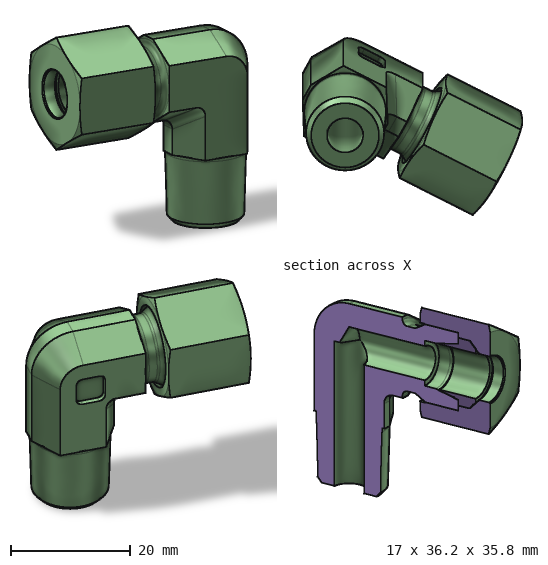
import cadquery as cq
import math


leg_width = 14.0
leg_half_height = 7.25
inlet_leg_end = 10.97
tail_leg_end = 13.5
inner_corner_radius = 1.7

half_width = leg_width / 2
side_half_height = half_width / math.sqrt(3)
flat_half_width = half_width - (leg_half_height - side_half_height) * math.sqrt(3)

tail_diameter = leg_width - 0.4
tail_land = 0.55
tail_tip_diameter = 13.0
tail_chamfer = 0.95
tail_end = 26.0
tail_end_diameter = 11.3

neck_diameter = 11.7
neck_radius = 0.98
neck_blend_radius = 0.87
neck_flare_start = 13.6
flare_angle = math.radians(30)
spigot_diameter = 14.0
spigot_end = 22.45

passage_diameter = 6.0
tail_passage_top = 0.18
drill_tip_angle = 118
tube_diameter = 8.0
tube_stop = 15.57

seat_mouth_diameter = 10.0
seat_slope = math.tan(math.radians(12))

panel_size = 5.07
panel_center = -1.35
panel_corner_radius = 1.1
panel_depth = 1.0

nut_width = 17.0
nut_start = 14.5
nut_end = 28.98
nut_chamfer_angle = math.radians(15)
nut_bore_diameter = 8.15
nut_mouth_diameter = 8.48
nut_mouth_chamfer = 0.25

ring_diameter = 12.0
ring_collar_end = 24.7
ring_nose = 18.47
ring_end = 25.97


def revolve_about_inlet(points):
    """Revolve a closed (radius, distance along -Y) outline about the Y axis."""
    outline = [(radius, -distance) for radius, distance in points]
    return cq.Workplane("XY").polyline(outline).close().revolve(360, (0, 0), (0, 1))


def leg_outline(plane):
    """Eight-sided leg section, width along the plane's first axis."""
    corners = [
        (half_width, side_half_height),
        (flat_half_width, leg_half_height),
        (-flat_half_width, leg_half_height),
        (-half_width, side_half_height),
        (-half_width, -side_half_height),
        (-flat_half_width, -leg_half_height),
        (flat_half_width, -leg_half_height),
        (half_width, -side_half_height),
    ]
    return cq.Workplane(plane).polyline(corners).close()


def outer_corner():
    """Upper half of the leg section turned a quarter turn about the X axis."""
    upper_half = [
        (half_width, 0),
        (half_width, side_half_height),
        (flat_half_width, leg_half_height),
        (-flat_half_width, leg_half_height),
        (-half_width, side_half_height),
        (-half_width, 0),
    ]
    return cq.Workplane("XY").polyline(upper_half).close().revolve(90, (0, 0), (1, 0))


def corner_wire(x, offset):
    """Concave corner filler at one X, its square corner at (-offset, -offset)."""
    tangent = -offset - inner_corner_radius
    arc_middle = tangent + inner_corner_radius * math.sqrt(0.5)
    return (
        cq.Workplane("YZ", origin=(x, 0, 0))
        .moveTo(0, 0)
        .lineTo(tangent, 0)
        .lineTo(tangent, -offset)
        .threePointArc((arc_middle, arc_middle), (-offset, tangent))
        .lineTo(0, tangent)
        .close()
        .val()
    )


def inner_corner():
    """Filler that rounds the inside corner between the legs."""
    stations = [
        (-half_width, side_half_height),
        (-flat_half_width, leg_half_height),
        (flat_half_width, leg_half_height),
        (half_width, side_half_height),
    ]
    wires = [corner_wire(x, offset) for x, offset in stations]
    filler = cq.Workplane("XY")
    for first, second in zip(wires, wires[1:]):
        filler = filler.add(cq.Solid.makeLoft([first, second], True))
    return filler.combine()


def tail():
    outline = [
        (0, 0),
        (tail_diameter / 2, 0),
        (tail_diameter / 2, -tail_leg_end - tail_land),
        (tail_tip_diameter / 2, -tail_end + tail_chamfer),
        (tail_end_diameter / 2, -tail_end),
        (0, -tail_end),
    ]
    return cq.Workplane("XZ").polyline(outline).close().revolve(360, (0, 0), (0, 1))


def neck_and_spigot():
    """Neck filleted to the leg, flaring out to the spigot that carries the nut."""
    neck = neck_diameter / 2
    spigot = spigot_diameter / 2
    blend_tangent = neck_blend_radius * math.tan(flare_angle / 2)
    blend_start = neck_flare_start - blend_tangent
    blend_end = neck_flare_start + blend_tangent * math.cos(flare_angle)
    blend_end_radius = neck + blend_tangent * math.sin(flare_angle)
    blend_middle = blend_start + neck_blend_radius * math.sin(flare_angle / 2)
    blend_middle_radius = neck + neck_blend_radius * (1 - math.cos(flare_angle / 2))
    flare_end = neck_flare_start + (spigot - neck) / math.tan(flare_angle)
    fillet_step = neck_radius * (1 - math.sqrt(0.5))
    return (
        cq.Workplane("XY")
        .lineTo(neck + neck_radius, 0)
        .lineTo(neck + neck_radius, -inlet_leg_end)
        .threePointArc(
            (neck + fillet_step, -inlet_leg_end - fillet_step),
            (neck, -inlet_leg_end - neck_radius),
        )
        .lineTo(neck, -blend_start)
        .threePointArc((blend_middle_radius, -blend_middle), (blend_end_radius, -blend_end))
        .lineTo(spigot, -flare_end)
        .lineTo(spigot, -spigot_end)
        .lineTo(0, -spigot_end)
        .close()
        .revolve(360, (0, 0), (0, 1))
    )


def inlet_passage():
    """Drilled passage with its tip, tube socket and conical ring seat."""
    passage = passage_diameter / 2
    tube = tube_diameter / 2
    seat_mouth = seat_mouth_diameter / 2
    tip_length = passage / math.tan(math.radians(drill_tip_angle / 2))
    seat_end = spigot_end - (seat_mouth - tube) / seat_slope
    return revolve_about_inlet([
        (0, -tip_length),
        (passage, 0),
        (passage, tube_stop),
        (tube, tube_stop),
        (tube, seat_end),
        (seat_mouth, spigot_end),
        (0, spigot_end),
    ])


def panel_recess():
    return (
        cq.Workplane("YZ", origin=(-half_width, panel_center, panel_center))
        .rect(panel_size, panel_size)
        .extrude(panel_depth)
        .edges("|X")
        .fillet(panel_corner_radius)
    )


def make_elbow():
    inlet_leg = leg_outline("XZ").extrude(inlet_leg_end)
    tail_leg = leg_outline("XY").extrude(-tail_leg_end)
    tail_passage = (
        cq.Workplane("XY", origin=(0, 0, -tail_passage_top))
        .circle(passage_diameter / 2)
        .extrude(tail_passage_top - tail_end)
    )
    return (
        inlet_leg.union(tail_leg)
        .union(outer_corner())
        .union(inner_corner())
        .union(tail())
        .union(neck_and_spigot())
        .cut(inlet_passage())
        .cut(tail_passage)
        .cut(panel_recess())
        .solids()
    )


def make_nut():
    """Hexagon nut, chamfered at both ends, whose 45 degree cone bears on the ring."""
    flat_radius = nut_width / 2
    corner_radius = nut_width / math.sqrt(3)
    chamfer_length = (corner_radius - flat_radius) * math.tan(nut_chamfer_angle)
    hexagon = (
        cq.Workplane("XZ", origin=(0, -nut_start, 0))
        .polygon(6, 2 * corner_radius)
        .extrude(nut_end - nut_start)
        .rotate((0, 0, 0), (0, 1, 0), 30)
    )
    envelope = revolve_about_inlet([
        (0, nut_start),
        (flat_radius, nut_start),
        (corner_radius, nut_start + chamfer_length),
        (corner_radius, nut_end - chamfer_length),
        (flat_radius, nut_end),
        (0, nut_end),
    ])
    ring = ring_diameter / 2
    bore = nut_bore_diameter / 2
    cavity = revolve_about_inlet([
        (0, nut_start),
        (spigot_diameter / 2, nut_start),
        (spigot_diameter / 2, spigot_end),
        (ring, spigot_end),
        (ring, ring_collar_end),
        (bore, ring_collar_end + ring - bore),
        (bore, nut_end - nut_mouth_chamfer),
        (nut_mouth_diameter / 2, nut_end),
        (0, nut_end),
    ])
    return hexagon.intersect(envelope).cut(cavity)


def make_cutting_ring():
    """Ring on the tube: nose in the elbow's seat, 45 degree back in the nut."""
    tube = tube_diameter / 2
    ring = ring_diameter / 2
    seat_mouth = seat_mouth_diameter / 2
    return revolve_about_inlet([
        (tube, ring_nose),
        (seat_mouth - (spigot_end - ring_nose) * seat_slope, ring_nose),
        (seat_mouth, spigot_end),
        (ring, spigot_end),
        (ring, ring_collar_end),
        (ring - (ring_end - ring_collar_end), ring_end),
        (tube, ring_end),
    ])


elbow = make_elbow()
nut = make_nut()
cutting_ring = make_cutting_ring()

result = cq.Compound.makeCompound([elbow.val(), nut.val(), cutting_ring.val()])